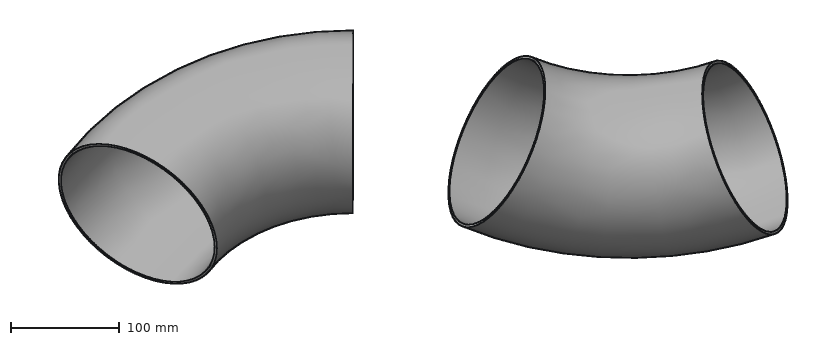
import cadquery as cq

outer_diameter = 168.3
wall_thickness = 2.6
bend_radius = 228.0
bend_angle = 60.0

outer_radius = outer_diameter / 2
inner_radius = outer_radius - wall_thickness


def pipe_elbow():
    """Ring in the XZ plane at the origin, swept from +Y towards +X about a vertical bend axis."""
    ring = cq.Workplane("XZ").circle(outer_radius).circle(inner_radius)
    axis_start = (bend_radius, 0)
    axis_end = (bend_radius, -1)
    return ring.revolve(bend_angle, axis_start, axis_end)


result = pipe_elbow()